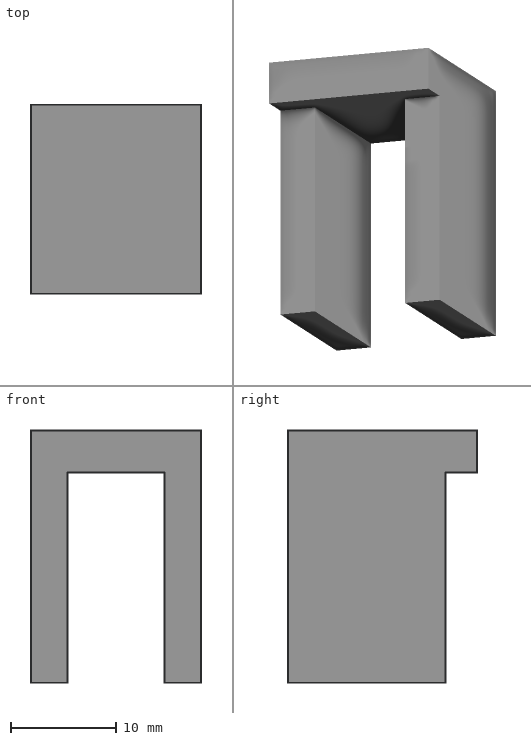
import cadquery as cq

width = 16.2
depth = 18.0
height = 24.0

plate_thickness = 4.0
leg_thickness = 3.5
rear_overhang = 3.0

leg_height = height - plate_thickness
leg_depth = depth - rear_overhang


def make_plate():
    """Plate across the top, reaching past the legs at the rear (+Y)."""
    plate = cq.Workplane("XY").box(width, depth, plate_thickness, centered=(True, False, False))
    return plate.translate((0, 0, leg_height))


def make_leg(side):
    """Leg flush with the front and one side of the plate; side is -1 or +1 along X."""
    leg = cq.Workplane("XY").box(leg_thickness, leg_depth, leg_height, centered=(True, False, False))
    return leg.translate((side * (width - leg_thickness) / 2, 0, 0))


result = make_plate()
for side in (-1, 1):
    result = result.union(make_leg(side))